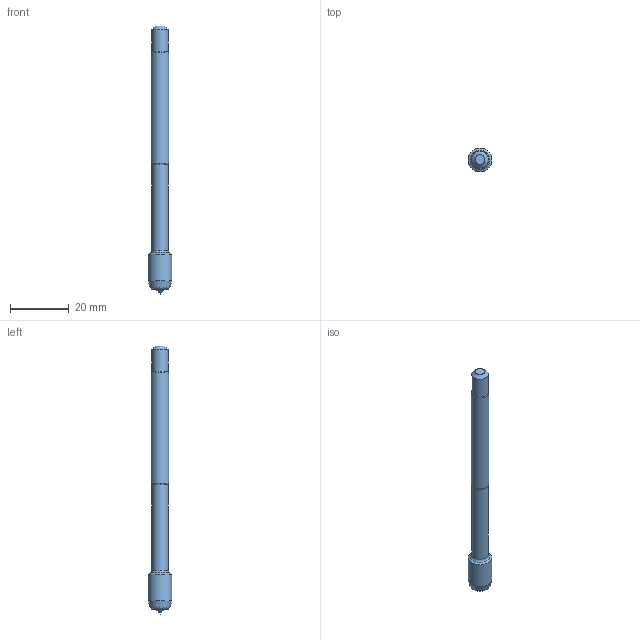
import cadquery as cq
import math

total_length = 91.55

barrel_radius = 6.0 / 2
barrel_bottom = 44.1
barrel_rim_height = 0.5
cap_length = 8.65
cap_ledge_height = 0.3
cap_chamfer_height = 1.2
cap_radius = 5.76 / 2
cap_top_radius = 3.36 / 2

stem_radius = 5.7 / 2
head_radius = 8.13 / 2
shoulder_height = 13.65
neck_fillet_radius = 1.0
shoulder_slope = math.radians(30)
crown_top = 4.51
crown_base = 2.1
crown_base_radius = 3.39
edge_chamfer = 0.5


def make_barrel():
    """Solid rod whose lower rim tapers to the stem, and a narrower cap that is chamfered at the top."""
    cap_bottom = total_length - cap_length
    ledge_bottom = cap_bottom - cap_ledge_height
    return (
        cq.Workplane("XZ")
        .moveTo(0, barrel_bottom)
        .lineTo(stem_radius, barrel_bottom)
        .lineTo(barrel_radius, barrel_bottom + barrel_rim_height)
        .lineTo(barrel_radius, ledge_bottom)
        .lineTo(cap_radius, cap_bottom)
        .lineTo(cap_radius, total_length - cap_chamfer_height)
        .lineTo(cap_top_radius, total_length)
        .lineTo(0, total_length)
        .close()
        .revolve(360, (0, 0, 0), (0, 1, 0))
    )


def make_plunger():
    """Stem and head: filleted neck, sloped shoulder, tapered crown and a central conical point."""
    sweep = math.pi / 2 - shoulder_slope
    fillet_center_x = stem_radius + neck_fillet_radius

    def fillet_radius_at(angle):
        return fillet_center_x - neck_fillet_radius * math.cos(angle)

    fillet_end_radius = fillet_radius_at(sweep)
    fillet_end_z = shoulder_height + (head_radius - fillet_end_radius) * math.tan(shoulder_slope)
    fillet_center_z = fillet_end_z + neck_fillet_radius * math.sin(sweep)
    fillet_middle_z = fillet_center_z - neck_fillet_radius * math.sin(sweep / 2)

    point_height = crown_base - edge_chamfer
    point_radius = point_height

    return (
        cq.Workplane("XZ")
        .lineTo(point_radius, point_height)
        .lineTo(crown_base_radius - edge_chamfer, point_height)
        .lineTo(crown_base_radius, crown_base)
        .lineTo(head_radius, crown_top)
        .lineTo(head_radius, shoulder_height)
        .lineTo(fillet_end_radius, fillet_end_z)
        .threePointArc((fillet_radius_at(sweep / 2), fillet_middle_z), (stem_radius, fillet_center_z))
        .lineTo(stem_radius, barrel_bottom)
        .lineTo(0, barrel_bottom)
        .close()
        .revolve(360, (0, 0, 0), (0, 1, 0))
    )


barrel = make_barrel()
plunger = make_plunger()
result = cq.Compound.makeCompound([barrel.val(), plunger.val()])